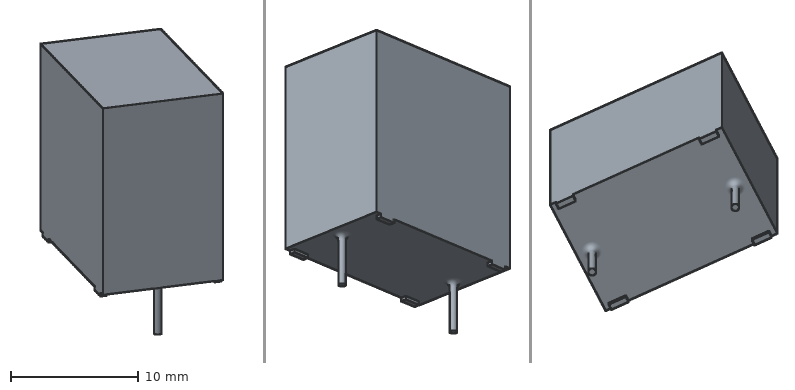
import cadquery as cq

length = 15.0
width = 10.0
height = 20.0

foot_length = 1.5
foot_width = 0.5
foot_height = 0.3
foot_end_inset = 0.5

lead_diameter = 0.6
lead_pitch = 12.5
lead_below_feet = 4.0
collar_flare_radius = 0.5

case_bottom = foot_height
case_height = height - lead_below_feet - foot_height
foot_x = length / 2 - foot_end_inset - foot_length / 2
foot_y = width / 2 - foot_width / 2
lead_radius = lead_diameter / 2
collar_radius = lead_radius + collar_flare_radius
collar_bottom = case_bottom - collar_flare_radius


def make_case():
    """Plain rectangular case standing on the feet."""
    case = cq.Workplane("XY").box(length, width, case_height, centered=(True, True, False))
    return case.translate((0, 0, case_bottom))


def make_foot(x, y):
    """Rectangular foot from the seating plane up to the case."""
    foot = cq.Workplane("XY").box(foot_length, foot_width, foot_height, centered=(True, True, False))
    return foot.translate((x, y, 0))


def make_lead(x):
    """Revolved lead whose concave quarter-round collar widens towards the case."""
    profile = (
        cq.Workplane("XZ")
        .moveTo(0, -lead_below_feet)
        .lineTo(lead_radius, -lead_below_feet)
        .lineTo(lead_radius, collar_bottom)
        .tangentArcPoint((collar_radius, case_bottom), relative=False)
        .lineTo(0, case_bottom)
        .close()
    )
    return profile.revolve(360, (0, 0, 0), (0, 1, 0)).translate((x, 0, 0))


result = make_case()
for side in (-1, 1):
    for face in (-1, 1):
        result = result.union(make_foot(side * foot_x, face * foot_y))
    result = result.union(make_lead(side * lead_pitch / 2))